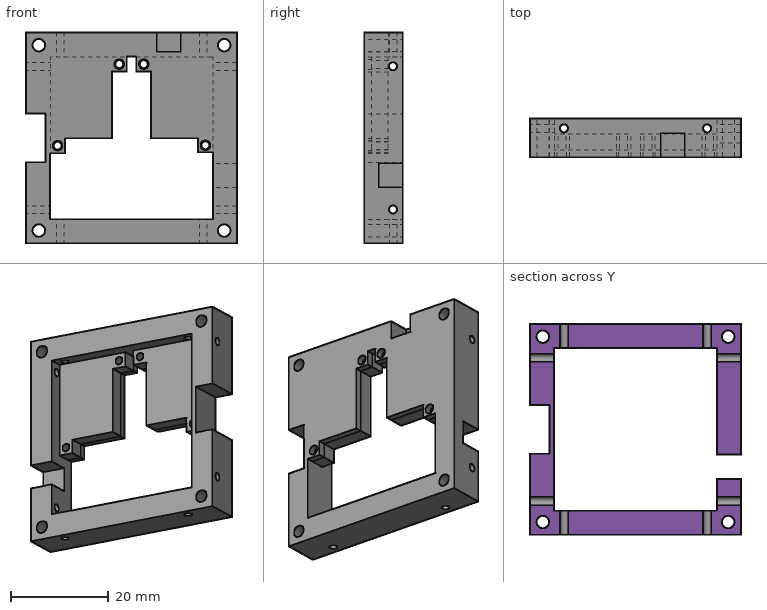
import cadquery as cq

SIDE = 43.4
THICKNESS = 8.0
RAIL = 5.0
SKIN = 1.5
INNER_MIN = RAIL
INNER_MAX = SIDE - RAIL
CENTER = SIDE / 2

CHANNEL_HALF_WIDTH = 4.0
SLOT_HALF_WIDTH = 0.95
EAR = 3.1
LEFT_EAR_HEIGHT = 3.1
RIGHT_EAR_HEIGHT = 2.9
SHOULDER_Z = 21.6

BLOCK_THICKNESS = 3.3

LEFT_SCREWS = [(6.5, 20.1), (CENTER - 2.5, 36.85)]
RIGHT_SCREWS = [(36.9, 20.2), (CENTER + 2.5, 36.85)]
CLEARANCE_DIAMETER = 2.0
BLOCK_HOLE_DIAMETER = 1.6

CORNER_HOLE_DIAMETER = 2.5
CORNER_HOLE_INSET = 2.65
RAIL_HOLE_DIAMETER = 1.6
RAIL_HOLE_INSET = 7.0
RAIL_HOLE_Y = 5.95

NOTCH_DEPTH = 4.0
LEFT_NOTCH_HEIGHT = 10.0
SMALL_NOTCH = 5.0
TOP_NOTCH_X = 26.85
RIGHT_NOTCH_Z = 11.5


def box(x_range, y_range, z_range):
    """Box between the given limits along each axis."""
    (x0, x1), (y0, y1), (z0, z1) = x_range, y_range, z_range
    return cq.Workplane("XY").box(x1 - x0, y1 - y0, z1 - z0, centered=False).translate((x0, y0, z0))


def holes_along_y(centers, diameter):
    """Cylinders through the whole thickness at (x, z) centers."""
    return cq.Workplane("XZ").pushPoints(centers).circle(diameter / 2).extrude(-THICKNESS)


def opening():
    """T-shaped opening with square ears left standing in its corners."""
    outline = [
        (INNER_MIN, INNER_MIN),
        (INNER_MAX, INNER_MIN),
        (INNER_MAX, SHOULDER_Z - RIGHT_EAR_HEIGHT),
        (INNER_MAX - EAR, SHOULDER_Z - RIGHT_EAR_HEIGHT),
        (INNER_MAX - EAR, SHOULDER_Z),
        (CENTER + CHANNEL_HALF_WIDTH, SHOULDER_Z),
        (CENTER + CHANNEL_HALF_WIDTH, INNER_MAX - EAR),
        (CENTER + SLOT_HALF_WIDTH, INNER_MAX - EAR),
        (CENTER + SLOT_HALF_WIDTH, INNER_MAX),
        (CENTER - SLOT_HALF_WIDTH, INNER_MAX),
        (CENTER - SLOT_HALF_WIDTH, INNER_MAX - EAR),
        (CENTER - CHANNEL_HALF_WIDTH, INNER_MAX - EAR),
        (CENTER - CHANNEL_HALF_WIDTH, SHOULDER_Z),
        (INNER_MIN + EAR, SHOULDER_Z),
        (INNER_MIN + EAR, SHOULDER_Z - LEFT_EAR_HEIGHT),
        (INNER_MIN, SHOULDER_Z - LEFT_EAR_HEIGHT),
    ]
    return cq.Workplane("XZ").polyline(outline).close().extrude(-THICKNESS)


def rail_holes():
    """Cross holes through opposite rails, along Z and along X."""
    cutters = cq.Workplane("XY")
    for position in (RAIL_HOLE_INSET, SIDE - RAIL_HOLE_INSET):
        along_z = cq.Workplane("XY").center(position, RAIL_HOLE_Y)
        along_x = cq.Workplane("YZ").center(RAIL_HOLE_Y, position)
        for axis in (along_z, along_x):
            cutters = cutters.add(axis.circle(RAIL_HOLE_DIAMETER / 2).extrude(SIDE))
    return cutters.combine()


def notches():
    """Left notch through the thickness, top notch from the front, right notch from the back."""
    left = box(
        (0, NOTCH_DEPTH),
        (0, THICKNESS),
        (CENTER - LEFT_NOTCH_HEIGHT / 2, CENTER + LEFT_NOTCH_HEIGHT / 2),
    )
    top = box(
        (TOP_NOTCH_X, TOP_NOTCH_X + SMALL_NOTCH),
        (0, SMALL_NOTCH),
        (SIDE - NOTCH_DEPTH, SIDE),
    )
    right = box(
        (INNER_MAX, SIDE),
        (THICKNESS - SMALL_NOTCH, THICKNESS),
        (RIGHT_NOTCH_Z, RIGHT_NOTCH_Z + SMALL_NOTCH),
    )
    return [left, top, right]


def make_frame():
    """Square frame with a front wall, open at the back."""
    inner = (INNER_MIN, INNER_MAX)
    corner = (CORNER_HOLE_INSET, SIDE - CORNER_HOLE_INSET)
    corner_centers = [(x, z) for x in corner for z in corner]

    frame = box((0, SIDE), (0, THICKNESS), (0, SIDE))
    frame = frame.cut(box(inner, (SKIN, THICKNESS), inner))
    frame = frame.cut(opening())
    frame = frame.cut(holes_along_y(corner_centers, CORNER_HOLE_DIAMETER))
    frame = frame.cut(holes_along_y(LEFT_SCREWS + RIGHT_SCREWS, CLEARANCE_DIAMETER))
    frame = frame.cut(rail_holes())
    for notch in notches():
        frame = frame.cut(notch)
    return frame


def make_block(x_range, screws):
    """Block behind the front wall, on one side of the channel, with two screw holes."""
    block = box(x_range, (SKIN, SKIN + BLOCK_THICKNESS), (INNER_MIN, INNER_MAX))
    block = block.cut(opening())
    return block.cut(holes_along_y(screws, BLOCK_HOLE_DIAMETER))


frame = make_frame()
block_places = [
    ((INNER_MIN, CENTER), LEFT_SCREWS),
    ((CENTER, INNER_MAX), RIGHT_SCREWS),
]
blocks = [make_block(x_range, screws).val() for x_range, screws in block_places]

result = cq.Compound.makeCompound([frame.val(), *blocks])